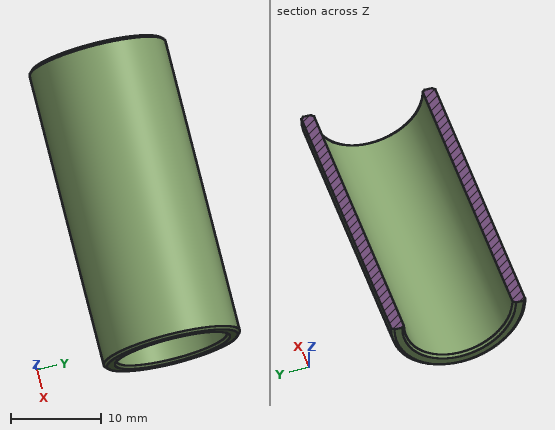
import cadquery as cq

length = 34.38
outer_diameter = 15.6
bore_diameter = 12.6
chamfer_size = 0.3

tube = (
    cq.Workplane("YZ", origin=(-length / 2, 0, 0))
    .circle(outer_diameter / 2)
    .circle(bore_diameter / 2)
    .extrude(length)
)

result = tube.faces("<X or >X").edges().chamfer(chamfer_size)